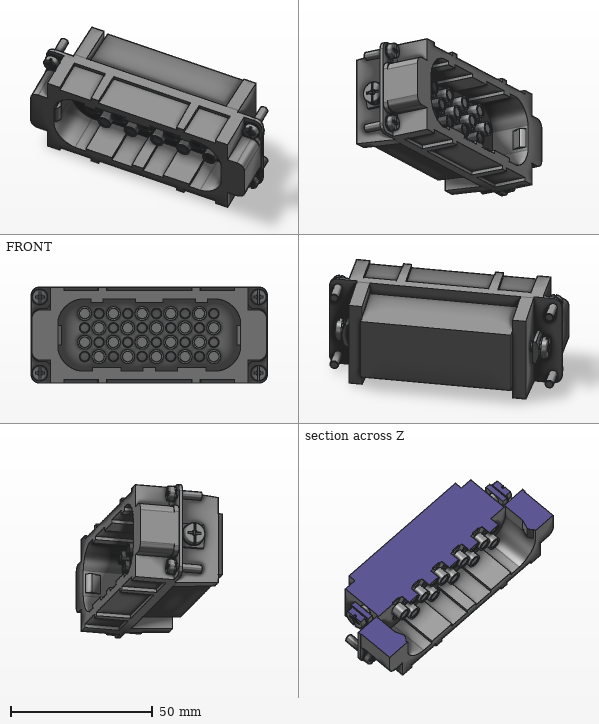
import cadquery as cq
import math


plate_length = 83.7
height = 34.0
depth = 34.3

housing_length = 70.0
flange_front = 14.2
flange_thickness = 1.25
flange_back = flange_front + flange_thickness
flange_corner_radius = 3.0

shoulder_back = 16.2
rear_length = 63.8
end_block_back = 31.4
end_block_rear_height = 31.4
centre_block_length = 54.2
centre_block_rear_height = 22.4
taper_slope = (height - end_block_rear_height) / 2 / (end_block_back - shoulder_back)

ear_length = 83.1
ear_height = 17.8
ear_corner_radius = 3.0
collar_height = 18.7
collar_thickness = 1.75
collar_fillet = 2.0

recess_depth = 1.3
recess_back = 12.5
side_recess_start = 18.0
side_recess_end = 30.2
centre_recess_half_length = 15.0
recess_draft = 0.25

cavity_length = 64.8
cavity_height = 25.5
cavity_corner_setback = 8.1
cavity_corner_inset = 2.7
cavity_depth = 14.8
key_height = 1.25
upper_keys = ((-18.5, 4.3), (0.0, 9.8), (18.5, 4.3))
lower_keys = ((-15.0, 10.1), (0.0, 4.3), (15.0, 10.1))

latch_height = 6.9
latch_reach = 1.3
latch_front = 0.8
latch_crest = 2.8
latch_back = 6.4

pitch = 5.08
columns = 10
rows = 4
sleeve_diameter = 4.9
sleeve_bore = 3.7
sleeve_bore_depth = 0.3
sleeve_length = 4.0
hole_diameter = 3.7
hole_floor_diameter = 3.2
hole_depth = 0.5

screw_x = 38.75
screw_z = 13.5
screw_diameter = 3.0
screw_tip = 23.2
screw_tip_chamfer = 0.2
screw_head_diameter = 5.4
screw_head_front = 10.8
screw_head_back = 12.85
screw_head_fillet = 0.25
screw_collar_diameter = 5.6
screw_collar_back = 13.35
screw_slot_width = 0.75
screw_cross_length = 3.2
screw_recess_side = 1.4
screw_slot_depth = 0.8
screw_cross_depth = 0.5
screw_recess_depth = 0.3

terminal_y = 21.0
terminal_neck_diameter = 4.0
clamp_side = 8.6
clamp_inner_x = 33.2
clamp_edge_thickness = 1.2
clamp_crown = 1.1
terminal_flange_diameter = 8.0
terminal_flange_thickness = 0.5
terminal_head_diameter = 7.7
terminal_head_x = 38.1
terminal_head_fillet = 0.25
terminal_slot_width = 0.75
terminal_cross_length = 4.7
terminal_recess_diameter = 2.0
terminal_slot_depth = 0.8
terminal_cross_depth = 0.5
terminal_recess_depth = 0.3


def block(length, y_front, y_back, block_height):
    """Box centred on X and Z between two Y positions."""
    thickness = y_back - y_front
    return cq.Workplane("XY").box(length, thickness, block_height).translate((0, y_front + thickness / 2, 0))


def cylinder_y(diameter, y_front, y_back):
    """Cylinder on the Y axis between two Y positions."""
    return cq.Workplane("XZ", origin=(0, y_front, 0)).circle(diameter / 2).extrude(y_front - y_back)


def rounded_block(length, y_front, y_back, block_height, radius):
    return block(length, y_front, y_back, block_height).edges("|Y").fillet(radius)


def tapered_block(length, y_back, rear_height):
    """Block from the shoulder to y_back whose top and bottom slope inward to the rear."""
    front_height = rear_height + 2 * taper_slope * (y_back - shoulder_back)
    profile = [
        (shoulder_back, -front_height / 2),
        (y_back, -rear_height / 2),
        (y_back, rear_height / 2),
        (shoulder_back, front_height / 2),
    ]
    return cq.Workplane("YZ").polyline(profile).close().extrude(length / 2, both=True)


def make_housing():
    housing = block(housing_length, 0, flange_front, height)
    housing = housing.union(
        rounded_block(ear_length, 0, flange_front, ear_height, ear_corner_radius)
    )
    collar = rounded_block(
        ear_length, flange_front - collar_thickness, flange_front, collar_height, ear_corner_radius
    )
    housing = housing.union(collar)
    housing = housing.union(
        rounded_block(plate_length, flange_front, flange_back, height, flange_corner_radius)
    )
    housing = housing.union(block(rear_length, flange_front, shoulder_back, height))
    end_blocks = tapered_block(rear_length, end_block_back, end_block_rear_height)
    end_blocks = end_blocks.cut(block(centre_block_length, shoulder_back, depth, height))
    housing = housing.union(end_blocks)
    return housing.union(tapered_block(centre_block_length, depth, centre_block_rear_height))


def collar_fillets():
    """Concave webs that blend the collars into the end walls of the housing."""
    wall_x = housing_length / 2
    base_z = collar_height / 2
    offset = collar_fillet * (1 - math.sqrt(0.5))
    web = (
        cq.Workplane("XZ", origin=(0, flange_front, 0))
        .moveTo(wall_x, base_z)
        .lineTo(wall_x + collar_fillet, base_z)
        .threePointArc((wall_x + offset, base_z + offset), (wall_x, base_z + collar_fillet))
        .close()
        .extrude(collar_thickness)
    )
    pair = web.union(web.mirror("YZ"))
    return pair.union(pair.mirror("XY"))


def outer_recesses():
    """Three shallow recesses per long side; the ribs between them narrow to the front."""
    centre = [
        (-centre_recess_half_length - recess_draft / 2, 0),
        (centre_recess_half_length + recess_draft / 2, 0),
        (centre_recess_half_length - recess_draft / 2, recess_back),
        (-centre_recess_half_length + recess_draft / 2, recess_back),
    ]
    side = [
        (side_recess_start, 0),
        (side_recess_end, 0),
        (side_recess_end, recess_back),
        (side_recess_start + recess_draft, recess_back),
    ]
    plane = cq.Workplane("XY", origin=(0, 0, height / 2 - recess_depth))
    side_recess = plane.polyline(side).close().extrude(recess_depth)
    recesses = plane.polyline(centre).close().extrude(recess_depth)
    recesses = recesses.union(side_recess).union(side_recess.mirror("YZ"))
    return recesses.union(recesses.mirror("XY"))


def latch_nose():
    """Nose on the +X cavity wall, rounded to the front and ramped to the rear."""
    wall_x = cavity_length / 2
    crest_x = wall_x - latch_reach
    nose_middle = ((wall_x + 2 * crest_x) / 3, (latch_front + latch_crest) / 2)
    profile = (
        cq.Workplane("XY")
        .moveTo(wall_x, latch_back)
        .lineTo(crest_x, latch_crest)
        .threePointArc(nose_middle, (wall_x, latch_front))
        .close()
    )
    return profile.extrude(latch_height / 2, both=True)


def plain_cavity():
    """Cavity block whose corners are flat arcs that meet the straight walls at a slight angle."""
    wall_x = cavity_length / 2
    wall_z = cavity_height / 2
    arc_x = wall_x - cavity_corner_setback
    arc_z = wall_z - cavity_corner_setback
    middle_x = wall_x - cavity_corner_inset
    middle_z = wall_z - cavity_corner_inset
    return (
        cq.Workplane("XZ")
        .moveTo(-arc_x, wall_z)
        .lineTo(arc_x, wall_z)
        .threePointArc((middle_x, middle_z), (wall_x, arc_z))
        .lineTo(wall_x, -arc_z)
        .threePointArc((middle_x, -middle_z), (arc_x, -wall_z))
        .lineTo(-arc_x, -wall_z)
        .threePointArc((-middle_x, -middle_z), (-wall_x, -arc_z))
        .lineTo(-wall_x, arc_z)
        .threePointArc((-middle_x, middle_z), (-arc_x, wall_z))
        .close()
        .extrude(-cavity_depth)
    )


def mating_cavity():
    """Rounded cavity, less its polarising keys and latch noses."""
    cavity = plain_cavity()
    key_z = (cavity_height - key_height) / 2
    for keys, z in ((upper_keys, key_z), (lower_keys, -key_z)):
        for x, width in keys:
            cavity = cavity.cut(block(width, 0, cavity_depth, key_height).translate((x, 0, z)))
    nose = latch_nose()
    return cavity.cut(nose).cut(nose.mirror("YZ"))


def contact_points(with_sleeve):
    """Contact positions that carry a sleeve, or those that are sunk holes."""
    points = []
    for column in range(columns):
        for row in range(rows):
            has_sleeve = (column + row) % 2 == 1
            if has_sleeve == with_sleeve:
                x = (column - (columns - 1) / 2) * pitch
                z = (row - (rows - 1) / 2) * pitch
                points.append((x, z))
    return points


def add_contacts(body):
    sleeve_front = cavity_depth - sleeve_length
    sleeves = (
        cq.Workplane("XZ", origin=(0, sleeve_front, 0))
        .pushPoints(contact_points(True))
        .circle(sleeve_diameter / 2)
        .extrude(-sleeve_length)
    )
    bores = (
        cq.Workplane("XZ", origin=(0, sleeve_front, 0))
        .pushPoints(contact_points(True))
        .circle(sleeve_bore / 2)
        .extrude(-sleeve_bore_depth)
    )
    wall_angle = math.degrees(math.atan2((hole_diameter - hole_floor_diameter) / 2, hole_depth))
    holes = (
        cq.Workplane("XZ", origin=(0, cavity_depth, 0))
        .pushPoints(contact_points(False))
        .circle(hole_diameter / 2)
        .extrude(-hole_depth, taper=wall_angle)
    )
    return body.union(sleeves).cut(bores).cut(holes)


def corner_screw():
    """Fixing screw at the +X, +Z corner with a combined slot and cross recess."""
    shank = cylinder_y(screw_diameter, screw_collar_back, screw_tip).faces(">Y").chamfer(screw_tip_chamfer)
    head = cylinder_y(screw_head_diameter, screw_head_front, screw_head_back)
    head = head.faces("<Y").edges().fillet(screw_head_fillet)
    slot_floor = screw_head_front + screw_slot_depth
    cross_floor = screw_head_front + screw_cross_depth
    recess_floor = screw_head_front + screw_recess_depth
    head = head.cut(block(screw_slot_width, screw_head_front, slot_floor, screw_head_diameter))
    head = head.cut(block(screw_cross_length, screw_head_front, cross_floor, screw_slot_width))
    head = head.cut(block(screw_recess_side, screw_head_front, recess_floor, screw_recess_side))
    collar = cylinder_y(screw_collar_diameter, screw_head_back, screw_collar_back)
    return head.union(collar).union(shank).translate((screw_x, 0, screw_z))


def terminal():
    """Earth terminal on the +X side: neck, crowned square clamp and flanged screw head."""

    def disc(diameter, x_inner, x_outer):
        return cq.Workplane("YZ", origin=(x_inner, 0, 0)).circle(diameter / 2).extrude(x_outer - x_inner)

    clamp_edge_x = clamp_inner_x + clamp_edge_thickness
    crown_x = clamp_edge_x + clamp_crown
    half = clamp_side / 2
    clamp = (
        cq.Workplane("XZ")
        .moveTo(clamp_inner_x, -half)
        .lineTo(clamp_edge_x, -half)
        .threePointArc((crown_x, 0), (clamp_edge_x, half))
        .lineTo(clamp_inner_x, half)
        .close()
        .extrude(half, both=True)
    )
    head_inner_x = crown_x + terminal_flange_thickness
    slot_floor_x = terminal_head_x - terminal_slot_depth
    cross_floor_x = terminal_head_x - terminal_cross_depth
    head = disc(terminal_head_diameter, head_inner_x, terminal_head_x)
    head = head.faces(">X").edges().fillet(terminal_head_fillet)
    slot = (
        cq.Workplane("YZ", origin=(slot_floor_x, 0, 0))
        .rect(terminal_slot_width, terminal_head_diameter)
        .extrude(terminal_slot_depth)
    )
    cross = (
        cq.Workplane("YZ", origin=(cross_floor_x, 0, 0))
        .rect(terminal_cross_length, terminal_slot_width)
        .extrude(terminal_cross_depth)
    )
    recess = disc(terminal_recess_diameter, terminal_head_x - terminal_recess_depth, terminal_head_x)
    head = head.cut(slot.union(cross).union(recess))
    flange = disc(terminal_flange_diameter, crown_x, head_inner_x)
    neck = disc(terminal_neck_diameter, rear_length / 2, head_inner_x)
    return neck.union(clamp).union(flange).union(head).translate((0, terminal_y, 0))


body = make_housing().union(collar_fillets()).cut(outer_recesses()).cut(mating_cavity())
body = add_contacts(body)

upper_screw = corner_screw()
earth_terminal = terminal()
right_fittings = upper_screw.union(upper_screw.mirror("XY")).union(earth_terminal)
result = body.union(right_fittings).union(right_fittings.mirror("YZ"))